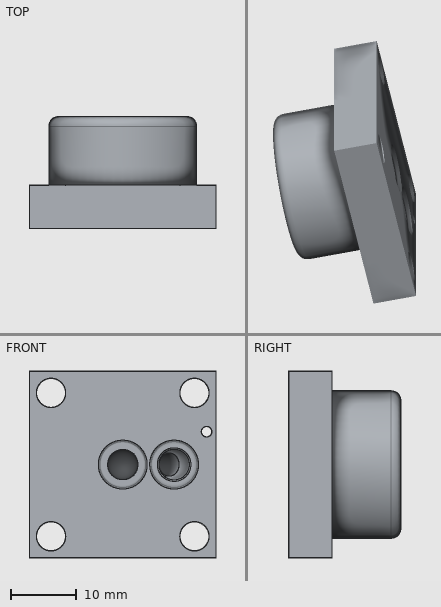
import cadquery as cq
import math

plate_side = 28.32
plate_thickness = 6.6
total_depth = 17.02
boss_diameter = 22.4
boss_edge_radius = 1.5

screw_hole_diameter = 4.4
screw_hole_offset = 10.87
pin_hole_diameter = 1.55
pin_hole_x = 12.72
pin_hole_z = 4.98

side_port_x = 7.8
seat_diameter = 7.42
seat_depth = 0.6
seat_corner_radius = 0.23
center_bore_diameter = 4.6
center_bore_depth = 11.33
side_bore_diameter = 5.1
side_bore_chamfer = 0.23
side_bore_depth = seat_depth + side_bore_chamfer
slant_bore_diameter = 3.5
slant_bore_angle = 30.0
slant_bore_length = 11.33


def cylinder_along_y(x, z, diameter, start, end):
    axis = cq.Vector(0, 1, 0)
    return cq.Workplane(cq.Solid.makeCylinder(diameter / 2, end - start, cq.Vector(x, start, z), axis))


def seal_seat(x):
    """Shallow round recess with a rounded floor corner."""
    seat = cylinder_along_y(x, 0, seat_diameter, 0, seat_depth)
    return seat.faces(">Y").edges().fillet(seat_corner_radius)


def ball_ended_bore(x, diameter, straight_end, mouth_chamfer=0.0):
    """Bore from the seat floor, closed by a half ball, with an optional chamfer at its mouth."""
    radius = diameter / 2
    profile = cq.Workplane("XY").lineTo(radius + mouth_chamfer, 0).lineTo(radius + mouth_chamfer, seat_depth)
    if mouth_chamfer > 0:
        profile = profile.lineTo(radius, seat_depth + mouth_chamfer)
    if straight_end > seat_depth + mouth_chamfer:
        profile = profile.lineTo(radius, straight_end)
    middle_of_arc = (radius * math.sqrt(0.5), straight_end + radius * math.sqrt(0.5))
    profile = profile.threePointArc(middle_of_arc, (0, straight_end + radius)).close()
    return profile.revolve(360, (0, 0), (0, 1)).translate((x, 0, 0))


def slanted_bore():
    """Passage from the side port, running deeper and towards the centre."""
    passage = cq.Workplane("XZ").circle(slant_bore_diameter / 2).extrude(-slant_bore_length)
    passage = passage.rotate((0, 0, 0), (0, 0, 1), slant_bore_angle)
    return passage.translate((side_port_x, side_bore_depth, 0))


plate = cq.Workplane().box(plate_side, plate_thickness, plate_side).translate((0, plate_thickness / 2, 0))
boss = cylinder_along_y(0, 0, boss_diameter, plate_thickness, total_depth)
boss = boss.faces(">Y").edges().fillet(boss_edge_radius)
result = plate.union(boss)

for x in (-screw_hole_offset, screw_hole_offset):
    for z in (-screw_hole_offset, screw_hole_offset):
        result = result.cut(cylinder_along_y(x, z, screw_hole_diameter, 0, plate_thickness))
result = result.cut(cylinder_along_y(pin_hole_x, pin_hole_z, pin_hole_diameter, 0, plate_thickness))

result = result.cut(seal_seat(0))
result = result.cut(ball_ended_bore(0, center_bore_diameter, center_bore_depth))

side_bore_minor_diameter = side_bore_diameter - 2 * side_bore_chamfer
result = result.cut(seal_seat(side_port_x))
result = result.cut(ball_ended_bore(side_port_x, side_bore_minor_diameter, side_bore_depth, side_bore_chamfer))
result = result.cut(slanted_bore())